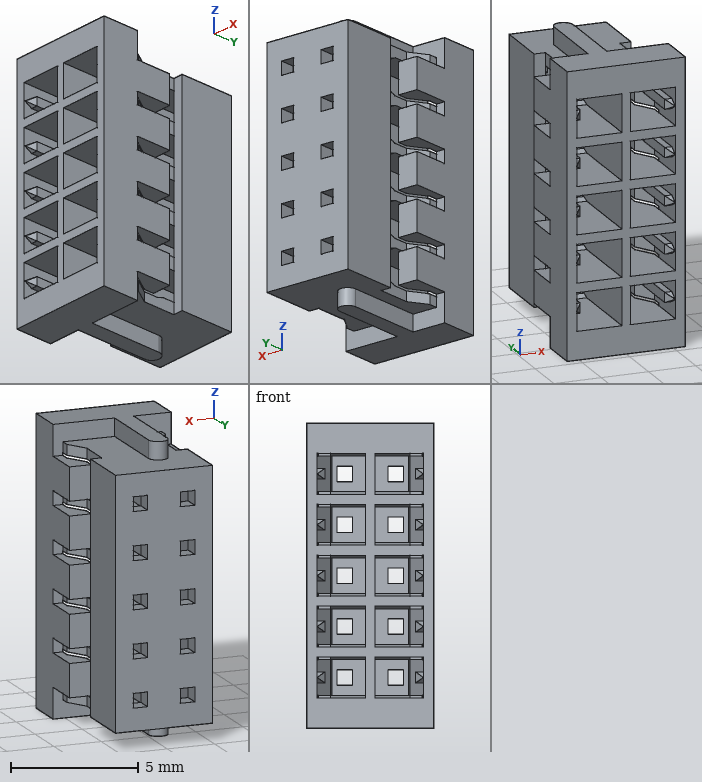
import cadquery as cq

HEIGHT = 12.0
WIDTH = 5.0
DEPTH = 7.3

ROWS = 5
PITCH = HEIGHT / 6
COLUMN_X = PITCH / 2
ROW_Z = [(row - (ROWS - 1) / 2) * PITCH for row in range(ROWS)]
SIDES = (-1, 1)

FLANGE_DEPTH = 1.81
BODY_HEIGHT = 10.5
BODY_WIDTH = 4.1
SHOULDER_Y = 4.63

WALL_X = 2.09
WAIST_X = 1.57
SLOPE_START_Y = 2.23
SLOPE_END_Y = 3.05

TOOTH_END_Y = 3.54

CELL_INNER_X = 0.18
CELL_REAR_X = 1.5
CELL_END_Y = 6.6
MOUTH_PARTITION = 0.4
CHAMBER_PARTITION = 0.6
MOUTH_HEIGHT = PITCH - MOUTH_PARTITION
CHAMBER_HEIGHT = PITCH - CHAMBER_PARTITION
TAPER_START_Y = 3.75
TAPER_END_Y = 4.05
PIN_HOLE = 0.6

BARB_TIP_Y = 0.04
BARB_BASE_Y = 0.41
BARB_WIDTH = 0.3
BARB_HEIGHT = 0.42

RIB_X = -0.5
RIB_WIDTH = 0.8
RIB_TIP_Y = 5.8


def block(x_min, x_max, y_min, y_max, height):
    """Box given by its X and Y limits, centred on Z = 0."""
    size_x = x_max - x_min
    size_y = y_max - y_min
    box = cq.Workplane("XY").box(size_x, size_y, height)
    return box.translate(((x_min + x_max) / 2, (y_min + y_max) / 2, 0))


def prism(points, height):
    """XY outline extruded along Z, centred on Z = 0."""
    return cq.Workplane("XY").polyline(points).close().extrude(height / 2, both=True)


def housing():
    """Flange, and the body with its waist behind it."""
    flange = block(-WIDTH / 2, WIDTH / 2, 0, FLANGE_DEPTH, HEIGHT)
    half_outline = [
        (WALL_X, 0),
        (WALL_X, SLOPE_START_Y),
        (WAIST_X, SLOPE_END_Y),
        (WAIST_X, SHOULDER_Y),
        (BODY_WIDTH / 2, SHOULDER_Y),
        (BODY_WIDTH / 2, DEPTH),
    ]
    mirrored = [(-x, y) for x, y in reversed(half_outline)]
    return flange.union(prism(half_outline + mirrored, BODY_HEIGHT))


def rib():
    """Rib over the full height; only its ends stand out from the body."""
    radius = RIB_WIDTH / 2
    left, right = RIB_X - radius, RIB_X + radius
    arc_start_y = RIB_TIP_Y - radius
    return (
        cq.Workplane("XY")
        .moveTo(left, 0)
        .lineTo(left, arc_start_y)
        .threePointArc((RIB_X, RIB_TIP_Y), (right, arc_start_y))
        .lineTo(right, 0)
        .close()
        .extrude(HEIGHT / 2, both=True)
    )


def tooth():
    """Tooth of the +X column, from the waist line out to the side of the flange."""
    return block(WAIST_X, WIDTH / 2, 0, TOOTH_END_Y, CHAMBER_HEIGHT)


def cell():
    """Cavity of the +X column with its through hole for the pin."""
    plan = prism(
        [
            (CELL_INNER_X, 0),
            (WALL_X, 0),
            (WALL_X, SLOPE_START_Y),
            (WAIST_X, SLOPE_END_Y),
            (WAIST_X, SHOULDER_Y),
            (CELL_REAR_X, CELL_END_Y),
            (CELL_INNER_X, CELL_END_Y),
        ],
        MOUTH_HEIGHT,
    )
    upper_profile = [
        (0, MOUTH_HEIGHT / 2),
        (TAPER_START_Y, MOUTH_HEIGHT / 2),
        (TAPER_END_Y, CHAMBER_HEIGHT / 2),
        (CELL_END_Y, CHAMBER_HEIGHT / 2),
    ]
    lower_profile = [(y, -z) for y, z in reversed(upper_profile)]
    taper = cq.Workplane("YZ").polyline(upper_profile + lower_profile).close().extrude(WIDTH / 2)
    half_hole = PIN_HOLE / 2
    pin_hole = block(COLUMN_X - half_hole, COLUMN_X + half_hole, 0, DEPTH, PIN_HOLE)
    return plan.intersect(taper).union(pin_hole)


def barb():
    """Bar on the outer cell wall of the +X column, its front tapering to a point on that wall."""
    inner_x = WALL_X - BARB_WIDTH
    plan = prism(
        [
            (WALL_X, BARB_TIP_Y),
            (WALL_X, SLOPE_END_Y),
            (inner_x, SLOPE_END_Y),
            (inner_x, BARB_BASE_Y),
        ],
        BARB_HEIGHT,
    )
    point = (
        cq.Workplane("YZ")
        .moveTo(BARB_TIP_Y, 0)
        .lineTo(BARB_BASE_Y, BARB_HEIGHT / 2)
        .lineTo(SLOPE_END_Y, BARB_HEIGHT / 2)
        .lineTo(SLOPE_END_Y, -BARB_HEIGHT / 2)
        .lineTo(BARB_BASE_Y, -BARB_HEIGHT / 2)
        .close()
        .extrude(WIDTH / 2)
    )
    return plan.intersect(point)


def in_grid(feature):
    """Copies of a +X column feature at every cell, mirrored for the -X column."""
    copies = cq.Workplane("XY")
    for side in SIDES:
        sided = feature if side > 0 else feature.mirror("YZ")
        for z in ROW_Z:
            copies.add(sided.translate((0, 0, z)))
    return copies


def joined(solid, features):
    """The solid with every one of the features added."""
    for feature in features.vals():
        solid = solid.union(cq.Workplane(feature))
    return solid


result = joined(housing().union(rib()), in_grid(tooth()))
for cavity in in_grid(cell()).vals():
    result = result.cut(cq.Workplane(cavity))
result = joined(result, in_grid(barb()))